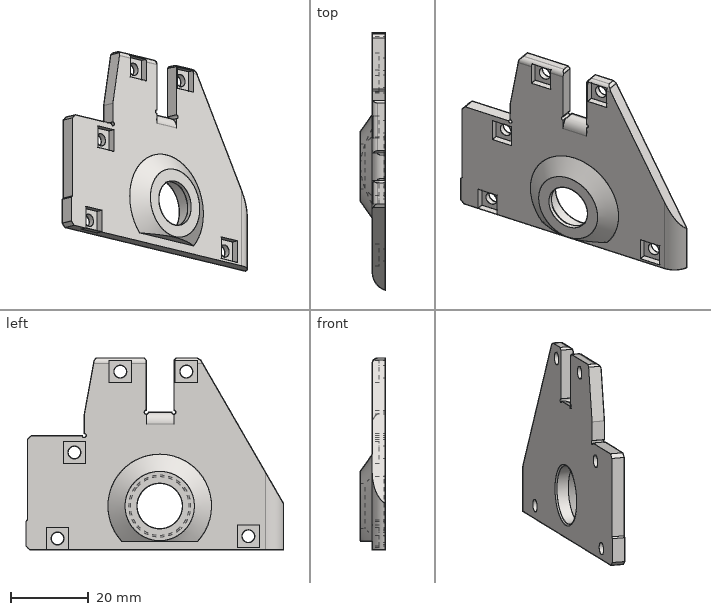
import cadquery as cq
import math


overall_depth = 6.5
plate_thickness = 3.4
plate_height = 49.25
plate_length = 66.15
nose_y = -31.8
heel_y = nose_y + plate_length
outer_face_x = -plate_thickness

heel_step = 0.4
heel_step_z = 7.3
corner_chamfer = 1.0
shoulder_z = 29.35
tower_side_y = 19.38
tower_taper_z = 34.8
tower_top_y = 16.85
top_chamfer = 0.6
slope_start_z = 11.87
slope_angle = 30.0

nose_radius = 4.9
top_fillet = 1.4
slot_fillet = 3.0

slot_width = 7.05
slot_center_y = -0.1
slot_floor_z = 35.33
relief_radius = 0.5

boss_height = overall_depth - plate_thickness
boss_face_x = -overall_depth
boss_base_radius = 13.3
boss_top_radius = 8.9
boss_flat_z = 2.2
bore_z = 11.25
bore_diameter = 11.6
seat_diameter = 15.1
lip_thickness = 1.25
seat_rim_chamfer = 0.4

screw_points = [(10.12, 45.75), (-6.83, 45.75), (21.9, 25.0), (26.22, 2.92), (-22.75, 3.5)]
screw_diameter = 3.2
nut_width = 5.7
nut_depth = 1.8

cut_margin = 1.0

slot_left_y = slot_center_y + slot_width / 2
slot_right_y = slot_center_y - slot_width / 2


def slope_y(z):
    """Y of the sloping edge at height z."""
    return nose_y + (z - slope_start_z) * math.tan(math.radians(slope_angle))


def extrude_along_x(sketch, start_x, end_x):
    """Extrude a YZ sketch between two X positions."""
    return sketch.extrude(end_x - start_x).translate((start_x, 0, 0))


def make_plate():
    """Flat plate with two towers, a shoulder at +Y and a slope down to -Y."""
    chamfer_z = plate_height - top_chamfer
    slope_chamfer_z = plate_height - top_chamfer * math.cos(math.radians(slope_angle))
    shoulder_y = heel_y - heel_step
    outline = [
        (nose_y, 0),
        (nose_y, slope_start_z),
        (slope_y(slope_chamfer_z), slope_chamfer_z),
        (slope_y(plate_height) + top_chamfer, plate_height),
        (slot_right_y - top_chamfer, plate_height),
        (slot_right_y, chamfer_z),
        (slot_right_y, slot_floor_z),
        (slot_left_y, slot_floor_z),
        (slot_left_y, chamfer_z),
        (slot_left_y + top_chamfer, plate_height),
        (tower_top_y - top_chamfer, plate_height),
        (tower_top_y, chamfer_z),
        (tower_side_y, tower_taper_z),
        (tower_side_y, shoulder_z),
        (shoulder_y - corner_chamfer, shoulder_z),
        (shoulder_y, shoulder_z - corner_chamfer),
        (shoulder_y, heel_step_z + heel_step),
        (heel_y, heel_step_z),
        (heel_y, corner_chamfer),
        (heel_y - corner_chamfer, 0),
    ]
    return extrude_along_x(cq.Workplane("YZ").polyline(outline).close(), outer_face_x, 0)


def make_nose_cutter():
    """Material outside the arc that rounds the outer face into the nose end."""
    center_x = outer_face_x + nose_radius
    arc_end_y = nose_y + math.sqrt(nose_radius**2 - center_x**2)
    diagonal_reach = nose_radius / math.sqrt(2)
    arc_mid = (center_x - diagonal_reach, arc_end_y - diagonal_reach)
    return (
        cq.Workplane("XY")
        .moveTo(0, nose_y)
        .threePointArc(arc_mid, (outer_face_x, arc_end_y))
        .lineTo(outer_face_x - cut_margin, arc_end_y)
        .lineTo(outer_face_x - cut_margin, nose_y - cut_margin)
        .lineTo(0, nose_y - cut_margin)
        .close()
        .extrude(plate_height)
    )


def make_edge_rounding(edge_z, radius, right_y, left_y):
    """Material outside a fillet on the outer edge of a ledge at height edge_z."""
    width = left_y - right_y
    middle_y = (left_y + right_y) / 2
    corner = cq.Workplane("XY").box(radius, width, radius, centered=(False, True, False))
    rod = (
        cq.Workplane("XZ")
        .center(radius, 0)
        .circle(radius)
        .extrude(width / 2, both=True)
    )
    return corner.cut(rod).translate((outer_face_x, middle_y, edge_z - radius))


def make_reliefs():
    """Small through holes that clear the inner corners of the outline."""
    points = [
        (slot_left_y, slot_floor_z),
        (slot_right_y, slot_floor_z),
        (tower_side_y, shoulder_z),
    ]
    return extrude_along_x(cq.Workplane("YZ").pushPoints(points).circle(relief_radius), outer_face_x, 0)


def revolve_about_bore(profile):
    """Revolve an (X, radius) profile about the bore axis."""
    solid = cq.Workplane("XY").polyline(profile).close().revolve(360, (0, 0, 0), (1, 0, 0))
    return solid.translate((0, 0, bore_z))


def make_boss():
    """Conical boss on the outer face, cut flat along its lower side."""
    cone = revolve_about_bore([
        (boss_face_x, 0),
        (boss_face_x, boss_top_radius),
        (outer_face_x, boss_base_radius),
        (outer_face_x, 0),
    ])
    below_flat = cq.Workplane("XY").box(
        2 * boss_height, 2 * boss_base_radius, boss_base_radius, centered=(True, True, False)
    ).translate((outer_face_x - boss_height, 0, boss_flat_z - boss_base_radius))
    return cone.cut(below_flat)


def make_bore():
    """Through lip, 45 degree cone, bearing seat and chamfered back rim."""
    lip_radius = bore_diameter / 2
    seat_radius = seat_diameter / 2
    lip_end_x = boss_face_x + lip_thickness
    seat_start_x = lip_end_x + seat_radius - lip_radius
    return revolve_about_bore([
        (boss_face_x, 0),
        (boss_face_x, lip_radius),
        (lip_end_x, lip_radius),
        (seat_start_x, seat_radius),
        (-seat_rim_chamfer, seat_radius),
        (0, seat_radius + seat_rim_chamfer),
        (0, 0),
    ])


def make_screw_cutters():
    """Through holes with square nut pockets sunk into the outer face."""
    holes = cq.Workplane("YZ").pushPoints(screw_points).circle(screw_diameter / 2)
    pockets = cq.Workplane("YZ").pushPoints(screw_points).rect(nut_width, nut_width)
    pocket_floor_x = outer_face_x + nut_depth
    return extrude_along_x(holes, outer_face_x, 0).union(
        extrude_along_x(pockets, outer_face_x, pocket_floor_x)
    )


result = (
    make_plate()
    .cut(make_nose_cutter())
    .cut(make_edge_rounding(plate_height, top_fillet, nose_y, heel_y))
    .cut(make_edge_rounding(slot_floor_z, slot_fillet, slot_right_y, slot_left_y))
    .cut(make_reliefs())
    .union(make_boss())
    .cut(make_bore())
    .cut(make_screw_cutters())
)